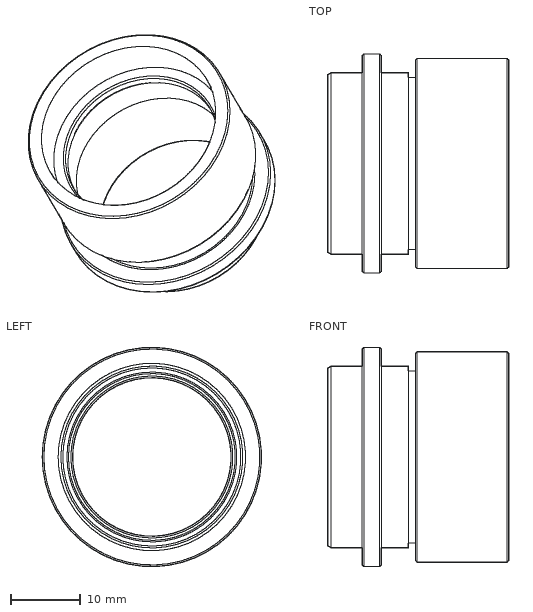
import cadquery as cq
import math


thread_radius = 13.14

total_length = 26.16
thread_end = 11.64
collar_start = 12.68
lip_start = 13.4
seat_depth = 7.96
lip_end = total_length - seat_depth

relief_radius = 12.45
collar_radius = 15.22
tube_bore_radius = 12.05
lip_bore_radius = 11.7

collar_chamfer = 0.25
tube_chamfer_length = 0.5
tube_chamfer_height = 0.28
bore_chamfer = 0.22

ring_start = 4.97
ring_width = 2.78
ring_radius = 15.85
ring_chamfer = 0.25
ring_bore_chamfer_height = 0.4
ring_bore_chamfer_angle = 30

retainer_width = 1.78
retainer_bore_radius = 11.43
retainer_bore_chamfer = lip_bore_radius - retainer_bore_radius


def turn(profile):
    """Revolve a closed (x, radius) profile around the X axis."""
    return cq.Workplane("XY").polyline(profile).close().revolve(360, (0, 0, 0), (1, 0, 0))


def make_housing():
    """Threaded tube, thread relief and thick collar; a lip in the bore backs the seat of the retainer."""
    outside = [
        (0, thread_radius - tube_chamfer_height),
        (tube_chamfer_length, thread_radius),
        (thread_end, thread_radius),
        (thread_end, relief_radius),
        (collar_start, relief_radius),
        (collar_start, collar_radius - collar_chamfer),
        (collar_start + collar_chamfer, collar_radius),
        (total_length - collar_chamfer, collar_radius),
        (total_length, collar_radius - collar_chamfer),
    ]
    inside = [
        (total_length, thread_radius),
        (lip_end, thread_radius),
        (lip_end, lip_bore_radius),
        (lip_start, lip_bore_radius),
        (lip_start, tube_bore_radius),
        (bore_chamfer, tube_bore_radius),
        (0, tube_bore_radius + bore_chamfer),
    ]
    return turn(outside + inside)


def make_lock_ring():
    """Ring on the tube thread, with chamfered rim and a flat countersink at both ends of its bore."""
    ring_end = ring_start + ring_width
    bore_chamfer_depth = ring_bore_chamfer_height * math.tan(math.radians(ring_bore_chamfer_angle))
    bore_mouth_radius = thread_radius + ring_bore_chamfer_height
    return turn([
        (ring_start, bore_mouth_radius),
        (ring_start, ring_radius - ring_chamfer),
        (ring_start + ring_chamfer, ring_radius),
        (ring_end - ring_chamfer, ring_radius),
        (ring_end, ring_radius - ring_chamfer),
        (ring_end, bore_mouth_radius),
        (ring_end - bore_chamfer_depth, thread_radius),
        (ring_start + bore_chamfer_depth, thread_radius),
    ])


def make_retainer():
    """Ring seated in the collar against the lip, with both ends of its bore chamfered."""
    retainer_end = lip_end + retainer_width
    return turn([
        (lip_end, lip_bore_radius),
        (lip_end, thread_radius),
        (retainer_end, thread_radius),
        (retainer_end, lip_bore_radius),
        (retainer_end - retainer_bore_chamfer, retainer_bore_radius),
        (lip_end + retainer_bore_chamfer, retainer_bore_radius),
    ])


housing = make_housing()
lock_ring = make_lock_ring()
retainer = make_retainer()

result = cq.Compound.makeCompound([housing.val(), lock_ring.val(), retainer.val()])